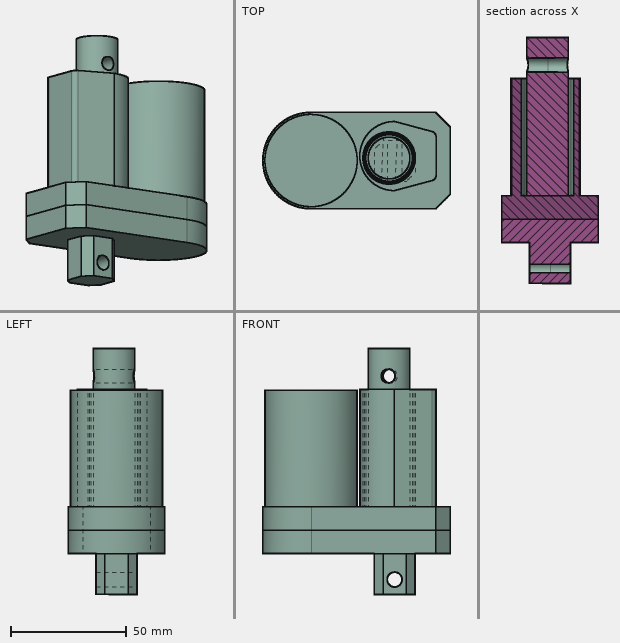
import cadquery as cq
import math


plate_width = 41.91
plate_length = 81.28
plate_thickness = 10.16
plate_chamfer = 6.35
plate_end_radius = plate_width / 2
plate_straight = plate_length - plate_end_radius
gearbox_top = 2 * plate_thickness

motor_diameter = 40.0
motor_height = 50.5

housing_center = (36.1, 1.95)
housing_radius = 15.0
housing_reach = 18.1
housing_side_angle = 15.0
housing_corner_radius = 2.5
housing_height = 50.8
housing_top = gearbox_top + housing_height

rod_center = (33.8, 1.1)
rod_diameter = 18.1
rod_projection = 17.78
rod_hole_diameter = 6.0
rod_hole_from_top = 12.0
rod_hole_turn = -2.8
sleeve_inner_diameter = 20.2
sleeve_outer_diameter = 21.4
housing_bore_diameter = 22.7

lug_center = (36.2, 0)
lug_width = 17.78
lug_length = 17.78
lug_chamfer = 3.9
lug_hole_diameter = 6.35
lug_hole_from_end = 6.5
lug_end_tilt = 0.5


def make_plate(base_z):
    """Gearbox plate with a round motor end and two chamfered corners."""
    return (
        cq.Workplane("XY", origin=(0, 0, base_z))
        .moveTo(0, plate_end_radius)
        .threePointArc((-plate_end_radius, 0), (0, -plate_end_radius))
        .lineTo(plate_straight - plate_chamfer, -plate_end_radius)
        .lineTo(plate_straight, -plate_end_radius + plate_chamfer)
        .lineTo(plate_straight, plate_end_radius - plate_chamfer)
        .lineTo(plate_straight - plate_chamfer, plate_end_radius)
        .close()
        .extrude(plate_thickness)
    )


def make_cross_hole(center, z, diameter, turn=0):
    """Round cutter along Y through a vertical axis, turned about that axis by `turn` degrees."""
    length = 2 * plate_width
    cutter = cq.Workplane("XZ").circle(diameter / 2).extrude(length / 2, both=True)
    return cutter.rotate((0, 0, 0), (0, 0, 1), turn).translate((*center, z))


def make_lug():
    """Square bar with chamfered edges, a cross hole and a leaning end face."""
    half_width = lug_width / 2
    end_drop = half_width * math.tan(math.radians(lug_end_tilt))
    bar = (
        cq.Workplane("XY")
        .center(*lug_center)
        .rect(lug_width, lug_width)
        .extrude(-(lug_length + end_drop))
        .edges("|Z")
        .chamfer(lug_chamfer)
    )
    end_wedge = (
        cq.Workplane("YZ", origin=(*lug_center, -lug_length))
        .moveTo(-half_width, -end_drop)
        .lineTo(half_width, end_drop)
        .lineTo(half_width, -end_drop)
        .close()
        .extrude(half_width, both=True)
    )
    hole_z = lug_hole_from_end - lug_length
    return bar.cut(end_wedge).cut(make_cross_hole(lug_center, hole_z, lug_hole_diameter))


def make_lower_gearbox():
    """Lower gearbox plate with the mounting lug hanging from it."""
    return make_plate(0).union(make_lug())


def make_tube_housing():
    """Solid outline of the tube housing, standing on the gearbox."""
    flat_half_width = housing_radius - housing_reach * math.tan(math.radians(housing_side_angle))
    return (
        cq.Workplane("XY", origin=(*housing_center, gearbox_top))
        .moveTo(0, housing_radius)
        .threePointArc((-housing_radius, 0), (0, -housing_radius))
        .lineTo(housing_reach, -flat_half_width)
        .lineTo(housing_reach, flat_half_width)
        .close()
        .extrude(housing_height)
        .edges("|Z and >X")
        .fillet(housing_corner_radius)
    )


def make_upper_housing():
    """Upper gearbox plate carrying the motor and the bored tube housing."""
    motor = (
        cq.Workplane("XY", origin=(0, 0, gearbox_top))
        .circle(motor_diameter / 2)
        .extrude(motor_height)
    )
    bore = (
        cq.Workplane("XY", origin=(*rod_center, gearbox_top))
        .circle(housing_bore_diameter / 2)
        .extrude(housing_height)
    )
    return make_plate(plate_thickness).union(motor).union(make_tube_housing()).cut(bore)


def make_sleeve():
    """Thin sleeve standing clear of both the bore and the push rod."""
    return (
        cq.Workplane("XY", origin=(*rod_center, gearbox_top))
        .circle(sleeve_outer_diameter / 2)
        .circle(sleeve_inner_diameter / 2)
        .extrude(housing_height)
    )


def make_push_rod():
    """Round rod standing in the sleeve, with a cross hole near its top."""
    rod_length = housing_height + rod_projection
    rod = (
        cq.Workplane("XY", origin=(*rod_center, gearbox_top))
        .circle(rod_diameter / 2)
        .extrude(rod_length)
    )
    hole_z = housing_top + rod_projection - rod_hole_from_top
    return rod.cut(make_cross_hole(rod_center, hole_z, rod_hole_diameter, rod_hole_turn))


lower_gearbox = make_lower_gearbox()
upper_housing = make_upper_housing()
sleeve = make_sleeve()
push_rod = make_push_rod()

result = cq.Compound.makeCompound(
    [lower_gearbox.val(), upper_housing.val(), sleeve.val(), push_rod.val()]
)